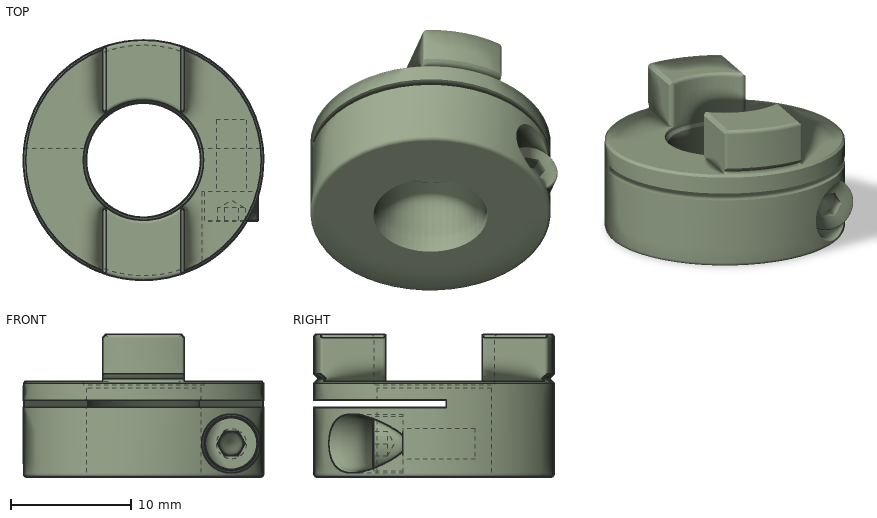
import cadquery as cq
import math

hub_radius = 10.0
hub_height = 8.0
bore_radius = 4.75
bore_chamfer = 0.25
recess_radius = bore_radius + bore_chamfer
recess_depth = 0.3
base_fillet = 0.3

jaw_width = 6.8
jaw_height = 3.9
jaw_inner_radius = recess_radius
jaw_edge = 0.3
jaw_top = hub_height + jaw_height

groove_depth = 0.4
rim_bevel = 0.2

relief_floor = 5.8
relief_width = 0.6
relief_end_y = 1.0

screw_x = 7.3
screw_z = 2.8
head_radius = 2.25
head_length = 2.5
head_chamfer = 0.1
shank_radius = 1.25
shank_length = 6.0
head_face_y = -5.1
head_seat_y = head_face_y + head_length
counterbore_radius = 2.45
socket_across_flats = 2.0
socket_depth = 1.2
socket_cone_angle = 120.0


def disc(radius, height, base_z):
    return cq.Workplane("XY").workplane(offset=base_z).circle(radius).extrude(height)


def along_screw(radius, start_y, length):
    """Cylinder on the screw axis, running toward +Y from start_y."""
    return cq.Workplane(cq.Solid.makeCylinder(
        radius, length, cq.Vector(screw_x, start_y, screw_z), cq.Vector(0, 1, 0)))


def make_jaw(side):
    """Jaw on the +Y (side = 1) or -Y (side = -1) half of the disc."""
    ring = disc(hub_radius, jaw_height, hub_height).cut(disc(jaw_inner_radius, jaw_height, hub_height))
    plan = (
        ring
        .intersect(
            cq.Workplane("XY")
            .box(jaw_width, hub_radius, jaw_top, centered=(True, False, False))
        )
        .edges("|Z").fillet(jaw_edge)
    )
    bevelled_block = (
        cq.Workplane("XY").workplane(offset=hub_height)
        .rect(jaw_width, 2 * hub_radius).extrude(jaw_height)
        .edges(">Z and |Y").chamfer(jaw_edge)
    )
    rounded_ring = ring.faces(">Z").edges().fillet(jaw_edge)
    jaw = plan.intersect(bevelled_block).intersect(rounded_ring)
    return jaw if side > 0 else jaw.mirror("XZ")


def make_rim_groove():
    """45 degree V ring that starts in the disc rim and undercuts the jaws."""
    groove_bottom = hub_height - rim_bevel
    return (
        cq.Workplane("XZ")
        .moveTo(hub_radius, groove_bottom)
        .lineTo(hub_radius - groove_depth, groove_bottom + groove_depth)
        .lineTo(hub_radius, groove_bottom + 2 * groove_depth)
        .lineTo(hub_radius + groove_depth, groove_bottom + groove_depth)
        .close()
        .revolve(360, (0, 0, 0), (0, 1, 0))
    )


def make_relief():
    return (
        cq.Workplane("XY", origin=(0, -hub_radius, relief_floor))
        .box(2 * hub_radius, hub_radius + relief_end_y, relief_width, centered=(True, False, False))
    )


def make_bore():
    """Through bore, widened at the top by a shallow recess with a chamfer below it."""
    recess_floor = hub_height - recess_depth
    bevel = cq.Workplane(cq.Solid.makeCone(
        bore_radius, recess_radius, bore_chamfer, cq.Vector(0, 0, recess_floor - bore_chamfer)))
    return (
        disc(bore_radius, hub_height, 0)
        .union(bevel)
        .union(disc(recess_radius, recess_depth, recess_floor))
    )


def make_hub():
    hub = disc(hub_radius, hub_height, 0).faces("<Z").edges().fillet(base_fillet)
    for side in (1, -1):
        hub = hub.union(make_jaw(side))
    hub = hub.cut(make_bore()).cut(make_rim_groove()).cut(make_relief())
    hub = hub.cut(along_screw(counterbore_radius, -hub_radius, head_seat_y + hub_radius))
    return hub.cut(along_screw(shank_radius, head_seat_y, shank_length))


def make_screw():
    head = along_screw(head_radius, head_face_y, head_length).faces("<Y").edges().chamfer(head_chamfer)
    socket = (
        cq.Workplane("XZ", origin=(screw_x, head_face_y, screw_z))
        .polygon(6, socket_across_flats / math.cos(math.pi / 6))
        .extrude(-socket_depth)
    )
    cone_radius = socket_across_flats / 2
    cone_length = cone_radius / math.tan(math.radians(socket_cone_angle / 2))
    socket_tip = cq.Workplane(cq.Solid.makeCone(
        cone_radius, 0, cone_length,
        cq.Vector(screw_x, head_face_y + socket_depth, screw_z), cq.Vector(0, 1, 0)))
    return head.union(along_screw(shank_radius, head_seat_y, shank_length)).cut(socket).cut(socket_tip)


hub = make_hub()
screw = make_screw()
result = cq.Compound.makeCompound([hub.solids().val(), screw.solids().val()])